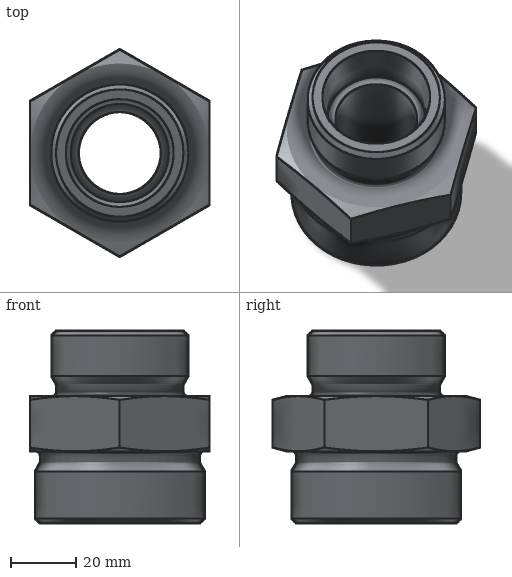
import cadquery as cq
import math

total_height = 59.0
hex_bottom = 22.05
hex_top = 39.0
lower_thread_top = 15.95
upper_thread_bottom = 45.1

hex_corner_diameter = 63.5
hex_chamfer_circle = 54.6
hex_chamfer_angle = 15.0

lower_thread_diameter = 52.0
lower_groove_diameter = 49.0
upper_thread_diameter = 42.0
upper_groove_diameter = 39.0
end_chamfer = 1.5
groove_flank_angle = 30.0
shoulder_fillet = 1.2
flank_fillet = 0.9

through_diameter = 25.0
tube_socket_diameter = 30.0
cone_mouth_diameter = 32.95
cone_half_angle = 12.0
tube_socket_depth = 13.5


def tan_degrees(angle):
    return math.tan(math.radians(angle))


def make_end(thread_diameter, groove_diameter, thread_length, length):
    """Solid end standing on the hexagon face at z = 0 and pointing up."""
    thread_radius = thread_diameter / 2
    groove_radius = groove_diameter / 2
    thread_start = length - thread_length
    flank_height = (thread_radius - groove_radius) / tan_degrees(groove_flank_angle)
    flank_start = thread_start - flank_height

    flank_angle = math.radians(groove_flank_angle)
    tangent_length = flank_fillet * math.tan(flank_angle / 2)
    arc_start_z = flank_start - tangent_length

    def flank_arc_point(turn):
        radius = groove_radius + flank_fillet * (1 - math.cos(turn))
        return (radius, arc_start_z + flank_fillet * math.sin(turn))

    shoulder_mid = shoulder_fillet * (1 - math.sqrt(0.5))

    return (
        cq.Workplane("XZ")
        .moveTo(0, 0)
        .lineTo(groove_radius + shoulder_fillet, 0)
        .threePointArc(
            (groove_radius + shoulder_mid, shoulder_mid),
            (groove_radius, shoulder_fillet),
        )
        .lineTo(groove_radius, arc_start_z)
        .threePointArc(flank_arc_point(flank_angle / 2), flank_arc_point(flank_angle))
        .lineTo(thread_radius, thread_start)
        .lineTo(thread_radius, length - end_chamfer)
        .lineTo(thread_radius - end_chamfer, length)
        .lineTo(0, length)
        .close()
        .revolve(360, (0, 0, 0), (0, 1, 0))
    )


def make_hexagon():
    """Hexagon with corners on the Y axis, both faces turned to a shallow cone."""
    prism = (
        cq.Workplane("XY", origin=(0, 0, hex_bottom))
        .polygon(6, hex_corner_diameter)
        .extrude(hex_top - hex_bottom)
        .rotate((0, 0, 0), (0, 0, 1), 90)
    )
    face_radius = hex_chamfer_circle / 2
    corner_radius = hex_corner_diameter / 2
    corner_drop = (corner_radius - face_radius) * tan_degrees(hex_chamfer_angle)
    turned_blank = (
        cq.Workplane("XZ")
        .polyline([
            (0, hex_bottom),
            (face_radius, hex_bottom),
            (corner_radius, hex_bottom + corner_drop),
            (corner_radius, hex_top - corner_drop),
            (face_radius, hex_top),
            (0, hex_top),
        ])
        .close()
        .revolve(360, (0, 0, 0), (0, 1, 0))
    )
    return prism.intersect(turned_blank)


def make_bore():
    """Through hole, tube socket and conical mouth at the top."""
    through_radius = through_diameter / 2
    socket_radius = tube_socket_diameter / 2
    mouth_radius = cone_mouth_diameter / 2
    cone_depth = (mouth_radius - socket_radius) / tan_degrees(cone_half_angle)
    socket_floor = total_height - tube_socket_depth
    return (
        cq.Workplane("XZ")
        .polyline([
            (0, 0),
            (through_radius, 0),
            (through_radius, socket_floor),
            (socket_radius, socket_floor),
            (socket_radius, total_height - cone_depth),
            (mouth_radius, total_height),
            (0, total_height),
        ])
        .close()
        .revolve(360, (0, 0, 0), (0, 1, 0))
    )


upper_end = make_end(
    upper_thread_diameter,
    upper_groove_diameter,
    total_height - upper_thread_bottom,
    total_height - hex_top,
).translate((0, 0, hex_top))

lower_end = (
    make_end(lower_thread_diameter, lower_groove_diameter, lower_thread_top, hex_bottom)
    .rotate((0, 0, 0), (1, 0, 0), 180)
    .translate((0, 0, hex_bottom))
)

result = make_hexagon().union(upper_end).union(lower_end).cut(make_bore())